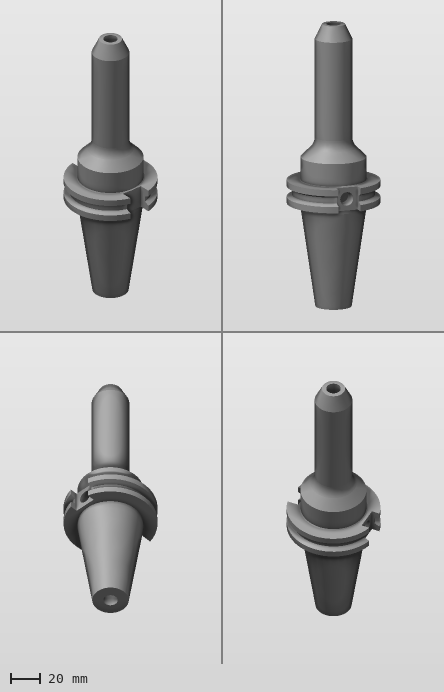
import cadquery as cq
import math

total_height = 195.2
taper_length = 68.3
taper_collar_height = 3.1
flange_height = 16.0
relief_height = 0.4
body_top = 103.3
nose_height = 10.2

taper_large_radius = 22.3
taper_slope = 7 / 48
flange_radius = 31.6
relief_radius = 23.0
shank_radius = 12.7
nose_radius = 7.8
bore_radius = 4.9
shoulder_fillet = 10.0

groove_floor_radius = 28.1
groove_floor_height = 4.1
groove_mouth_height = 7.5

slot_width = 15.8
shallow_slot_floor = 25.0
deep_slot_floor = 22.6
side_hole_radius = 4.7
side_hole_depth = 9.8

taper_small_radius = taper_large_radius - taper_length * taper_slope
flange_bottom = taper_length + taper_collar_height
flange_top = flange_bottom + flange_height
flange_middle = flange_bottom + flange_height / 2

diagonal = math.sqrt(0.5)
fillet_end_radius = shank_radius + shoulder_fillet * (1 - diagonal)
fillet_end_height = body_top + taper_large_radius - fillet_end_radius
fillet_top = fillet_end_height + shoulder_fillet * diagonal
fillet_middle_radius = shank_radius + shoulder_fillet * (1 - math.cos(math.pi / 8))
fillet_middle_height = fillet_top - shoulder_fillet * math.sin(math.pi / 8)


def turned_body():
    """Revolve the half outline, from the taper up to the nose."""
    outline = (
        cq.Workplane("XZ")
        .moveTo(0, 0)
        .lineTo(taper_small_radius, 0)
        .lineTo(taper_large_radius, taper_length)
        .lineTo(taper_large_radius, flange_bottom)
        .lineTo(flange_radius, flange_bottom)
        .lineTo(flange_radius, flange_middle - groove_mouth_height / 2)
        .lineTo(groove_floor_radius, flange_middle - groove_floor_height / 2)
        .lineTo(groove_floor_radius, flange_middle + groove_floor_height / 2)
        .lineTo(flange_radius, flange_middle + groove_mouth_height / 2)
        .lineTo(flange_radius, flange_top)
        .lineTo(relief_radius, flange_top)
        .lineTo(taper_large_radius, flange_top + relief_height)
        .lineTo(taper_large_radius, body_top)
        .lineTo(fillet_end_radius, fillet_end_height)
        .threePointArc((fillet_middle_radius, fillet_middle_height), (shank_radius, fillet_top))
        .lineTo(shank_radius, total_height - nose_height)
        .lineTo(nose_radius, total_height)
        .lineTo(0, total_height)
        .close()
    )
    return outline.revolve(360, (0, 0, 0), (0, 1, 0))


def drive_slot(floor, side):
    """Slot through the flange with a flat floor; side is -1 or +1 along X."""
    depth = flange_radius - floor
    middle = side * (floor + depth / 2)
    return cq.Workplane("XY").box(depth, slot_width, flange_height).translate((middle, 0, flange_middle))


def side_hole():
    """Blind hole running inward from the shallow slot floor."""
    return (
        cq.Workplane("YZ", origin=(-shallow_slot_floor, 0, flange_middle))
        .circle(side_hole_radius)
        .extrude(side_hole_depth)
    )


bore = cq.Workplane("XY").circle(bore_radius).extrude(total_height)

result = (
    turned_body()
    .cut(bore)
    .cut(drive_slot(shallow_slot_floor, -1))
    .cut(drive_slot(deep_slot_floor, 1))
    .cut(side_hole())
)